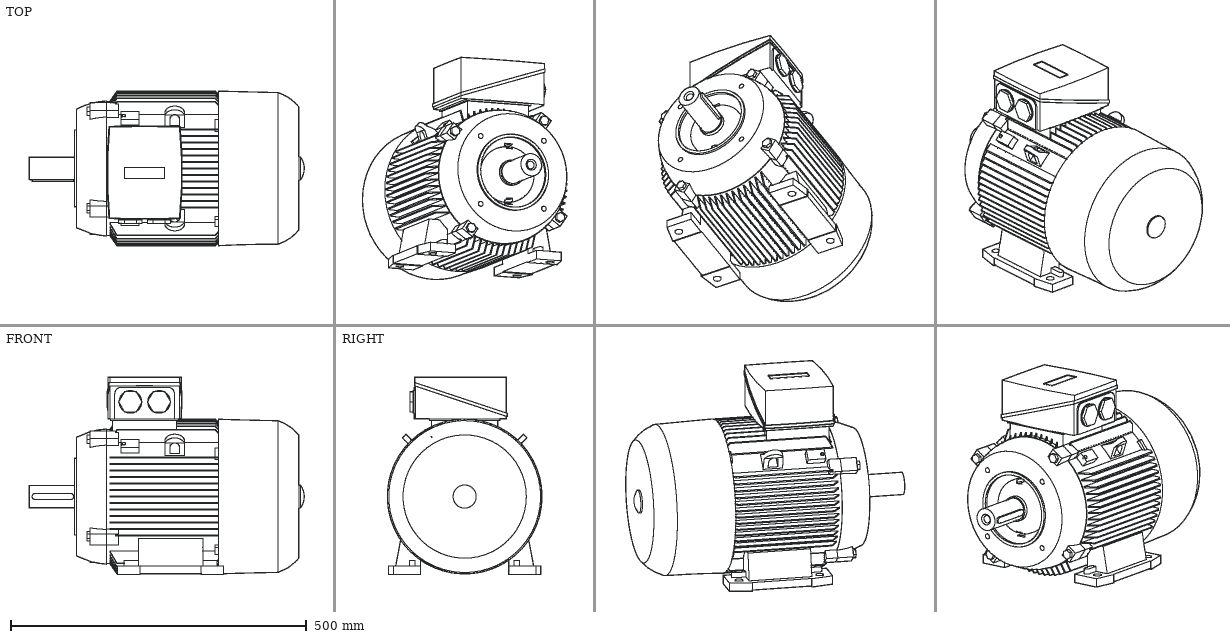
import cadquery as cq

SHAFT_RADIUS = 19.0
SHAFT_LENGTH = 80.0
COLLAR_RADIUS = 21.5
SHAFT_HEIGHT = 132.0
SHIELD_BACK_X = 131.0
COVER_FRONT_X = 320.0
COVER_BACK_X = 455.5
OVERALL_LENGTH = 465.0
COVER_RADIUS = 262.0 / 2
TOP_Z = 202.0
QUARTER_TURNS = [0, 90, 180, 270]

CENTRE_HOLE_RADIUS = 6.5
CENTRE_HOLE_MOUTH = 9.5
CENTRE_HOLE_DEPTH = 28.0
KEY_LENGTH = 70.0
KEY_WIDTH = 10.0
KEY_START_X = 5.0
KEY_BOTTOM = 14.0
KEY_TOP = 22.0

SPIGOT_X = 76.3
SPIGOT_RADIUS = 65.0
RECESS_RADIUS = 60.0
RECESS_STRAIGHT = 4.0
VALLEY_RADIUS = 47.5
VALLEY_X = 107.0
HUB_FLAT_RADIUS = 33.0
HUB_X = 86.0
SHIELD_FACE_RADIUS = 100.5
SHIELD_MID = (103.0, 109.7)
SHIELD_BACK_RADIUS = 114.5
FLANGE_HOLE_RADIUS = 4.0
FLANGE_HOLE_CIRCLE = 82.5
FLANGE_HOLE_DEPTH = 18.5
FLANGE_HOLE_ANGLE = 45
DRAIN_RADIUS = 7.0
DRAIN_X = 96.5
DRAIN_INNER = 42.5
DRAIN_OUTER = 52.0
VERTICALS = [90, 270]

LUG_ANGLE = 55.2
LUG_CENTRE_RADIUS = 117.5
LUG_WIDTH = 23.0
LUG_HEIGHT = 19.5
LUG_FRONT_X = 103.0
LUG_BACK_X = 151.0
SCREW_HEAD_DIAMETER = 16.5
SCREW_HEAD_HEIGHT = 5.5

CORE_RADIUS = 113.5
FIN_RADIUS = 130.5
FINS_EACH_WAY = 6
FIN_PITCH = 66.0 / FINS_EACH_WAY
FIN_THICKNESS = 2.0
FIN_START_X = 136.2
FIN_FULL_X = 148.5
FIN_END_CHAMFER = 5.0
TAB_ANGLE = 38.8
TAB_RADIUS = 118.5
TAB_WIDTH = 21.0
TAB_LENGTH = 6.0
BOSS_ROOT = 111.0
PAD_X = 155.5
PAD_LENGTH = 30.5
PAD_WIDTH = 18.5
PAD_RADIUS = 126.5
PAD_HOLE_RADIUS = 3.0
PAD_HOLE_OFFSET = 4.5
PAD_HOLE_DEPTH = 4.5
DIAGONALS = [45, 135]

EYE_X = 246.0
EYE_RADIUS = 16.7
EYE_TIP = 144.5
EYE_THICKNESS = 9.0
EYE_CHEEK_TOP = 132.5
EYE_CHEEK_FOOT = 15.0
EYE_SLOT_FLOOR = 116.0
EYE_SLOT_WIDTH = 16.7

FOOT_CENTRE_X = 239.0
FOOT_LENGTH = 179.5
FOOT_INNER_Y = 74.5
FOOT_OUTER_Y = 129.0
FOOT_END_Y = 120.5
FOOT_THICKNESS = 15.0
FOOT_RELIEF = 1.5
FOOT_RELIEF_LENGTH = 103.0
RISER_LENGTH = 109.0
RISER_TOP_Y = 108.0
RISER_FOOT_Y = 116.5
RISER_TOP_Z = -70.5
FOOT_HOLE_RADIUS = 6.5
FOOT_HOLE_SPACING_X = 140.0
FOOT_HOLE_Y = 108.0
RIB_Y = 88.5
RIB_WIDTH = 9.5
RIB_HEIGHT = 9.0
RIB_LENGTH = 157.0

BOX_BOTTOM_Z = 131.0
BOX_X = (136.2, 254.0)
BOX_BACK_Y = 69.8
BOX_FRONT_Y = -83.0
LID_OVERHANG = 1.0
BOX_END_BULGE = 3.5
BOX_SIDE_BULGE = 1.0
SPLIT_BACK_Z = 136.0
SPLIT_FRONT_Z = 186.5
RIM_HEIGHT = 5.5
RIM_OVERHANG = 1.5
LABEL_X = (161.5, 229.0)
LABEL_Y = (-17.0, 1.5)
LABEL_DEPTH = 1.5
NECK_X = (140.5, 249.2)
NECK_HALF_WIDTH = 56.3
NECK_FLANGE_OVERHANG = 3.3
NECK_FLANGE_HEIGHT = 3.0
ENTRY_X = (144.5, 245.5)
ENTRY_TOP_Z = 184.5
ENTRY_CORNER = 11.0
ENTRY_THICKNESS = 3.0
PLUG_X = (171.0, 219.5)
PLUG_Z = 160.0
PLUG_WASHER_RADIUS = 19.0
PLUG_WASHER_THICKNESS = 2.0
PLUG_HEX_DIAMETER = 39.5
PLUG_HEX_HEIGHT = 5.0

COVER_BEND_X = 421.0
COVER_BEND_RADIUS = 128.5
COVER_MID = (439.5, 119.0)
COVER_BACK_RADIUS = 104.0
CAP_RADIUS = 19.5
CAP_EDGE = 3.0


def revolve_about_shaft(profile):
    """Revolve a closed (X, radius) profile about the shaft axis."""
    return profile.revolve(360, (0, 0, 0), (1, 0, 0))


def shaft_cylinder(x_start, x_end, radius):
    return cq.Workplane("YZ", origin=(x_start, 0, 0)).circle(radius).extrude(x_end - x_start)


def block(x_range, y_range, z_range):
    size = [high - low for low, high in (x_range, y_range, z_range)]
    return cq.Workplane("XY").box(*size, centered=False).translate((x_range[0], y_range[0], z_range[0]))


def turn_from_front(shape, angle):
    """Turn a shape built on the -Y side about the shaft axis, from -Y towards +Z."""
    return shape.rotate((0, 0, 0), (1, 0, 0), -angle)


def lug(x_start, x_end):
    """Square clamping lug on the -Y side."""
    inner = LUG_CENTRE_RADIUS - LUG_HEIGHT / 2
    outer = LUG_CENTRE_RADIUS + LUG_HEIGHT / 2
    return block((x_start, x_end), (-outer, -inner), (-LUG_WIDTH / 2, LUG_WIDTH / 2))


def make_key():
    """Round-ended key on the -Y side of the shaft."""
    return (
        cq.Workplane("XZ", origin=(KEY_START_X + KEY_LENGTH / 2, -KEY_BOTTOM, 0))
        .slot2D(KEY_LENGTH, KEY_WIDTH)
        .extrude(KEY_TOP - KEY_BOTTOM)
    )


def make_shaft():
    """Stub shaft with a shoulder, a countersunk centre hole and a keyway."""
    shaft = shaft_cylinder(0, SHAFT_LENGTH, SHAFT_RADIUS)
    shaft = shaft.union(shaft_cylinder(SHAFT_LENGTH, SHIELD_BACK_X, COLLAR_RADIUS))
    mouth_depth = CENTRE_HOLE_MOUTH - CENTRE_HOLE_RADIUS
    centre_hole = revolve_about_shaft(
        cq.Workplane("XY").polyline([
            (0, 0),
            (0, CENTRE_HOLE_MOUTH),
            (mouth_depth, CENTRE_HOLE_RADIUS),
            (CENTRE_HOLE_DEPTH, CENTRE_HOLE_RADIUS),
            (CENTRE_HOLE_DEPTH, 0),
        ]).close()
    )
    return shaft.cut(centre_hole).cut(make_key())


def make_end_shield():
    """Domed shield with a spigot, a recessed hub, clamping lugs and flange holes."""
    hub_round = VALLEY_RADIUS - HUB_FLAT_RADIUS
    shield = revolve_about_shaft(
        cq.Workplane("XY")
        .moveTo(SHIELD_BACK_X, COLLAR_RADIUS)
        .lineTo(HUB_X, COLLAR_RADIUS)
        .lineTo(HUB_X, HUB_FLAT_RADIUS)
        .radiusArc((HUB_X + hub_round, VALLEY_RADIUS), hub_round)
        .lineTo(VALLEY_X, VALLEY_RADIUS)
        .lineTo(SPIGOT_X + RECESS_STRAIGHT, RECESS_RADIUS)
        .lineTo(SPIGOT_X, RECESS_RADIUS)
        .lineTo(SPIGOT_X, SPIGOT_RADIUS)
        .lineTo(SHAFT_LENGTH, SPIGOT_RADIUS)
        .lineTo(SHAFT_LENGTH, SHIELD_FACE_RADIUS)
        .threePointArc(SHIELD_MID, (SHIELD_BACK_X, SHIELD_BACK_RADIUS))
        .close()
    )
    screw_head = (
        cq.Workplane("YZ", origin=(LUG_FRONT_X - SCREW_HEAD_HEIGHT, -LUG_CENTRE_RADIUS, 0))
        .transformed(rotate=(0, 0, LUG_ANGLE))
        .polygon(6, SCREW_HEAD_DIAMETER)
        .extrude(SCREW_HEAD_HEIGHT)
    )
    lug_with_screw = lug(LUG_FRONT_X, SHIELD_BACK_X).union(screw_head)
    flange_hole = shaft_cylinder(SHAFT_LENGTH, SHAFT_LENGTH + FLANGE_HOLE_DEPTH, FLANGE_HOLE_RADIUS)
    flange_hole = flange_hole.translate((0, -FLANGE_HOLE_CIRCLE, 0))
    for turn in QUARTER_TURNS:
        shield = shield.union(turn_from_front(lug_with_screw, turn + LUG_ANGLE))
        shield = shield.cut(turn_from_front(flange_hole, turn + FLANGE_HOLE_ANGLE))
    drain = (
        cq.Workplane("XZ", origin=(DRAIN_X, -DRAIN_INNER, 0))
        .circle(DRAIN_RADIUS)
        .extrude(DRAIN_OUTER - DRAIN_INNER)
    )
    for angle in VERTICALS:
        shield = shield.cut(turn_from_front(drain, angle))
    return shield


def make_fins():
    """Flat cooling fins in both directions, trimmed to a round envelope."""
    envelope = revolve_about_shaft(
        cq.Workplane("XY").polyline([
            (FIN_START_X, 0),
            (FIN_START_X, CORE_RADIUS),
            (FIN_FULL_X, FIN_RADIUS),
            (COVER_FRONT_X - FIN_END_CHAMFER, FIN_RADIUS),
            (COVER_FRONT_X, FIN_RADIUS - FIN_END_CHAMFER),
            (COVER_FRONT_X, 0),
        ]).close()
    )
    fins = cq.Workplane("XY")
    for step in range(-FINS_EACH_WAY, FINS_EACH_WAY + 1):
        offset = step * FIN_PITCH
        across = (-COVER_RADIUS, COVER_RADIUS)
        thickness = (offset - FIN_THICKNESS / 2, offset + FIN_THICKNESS / 2)
        fins = fins.add(block((FIN_START_X, COVER_FRONT_X), across, thickness))
        fins = fins.add(block((FIN_START_X, COVER_FRONT_X), thickness, across))
    return [envelope.intersect(cq.Workplane(fin)) for fin in fins.vals()]


def make_pad():
    """Nameplate pad with a small screw hole, on the -Y side."""
    pad = block((PAD_X, PAD_X + PAD_LENGTH), (-PAD_RADIUS, -BOSS_ROOT), (-PAD_WIDTH / 2, PAD_WIDTH / 2))
    hole = (
        cq.Workplane("XZ", origin=(PAD_X + PAD_HOLE_OFFSET, PAD_HOLE_DEPTH - PAD_RADIUS, 0))
        .circle(PAD_HOLE_RADIUS)
        .extrude(PAD_HOLE_DEPTH)
    )
    return pad.cut(hole)


def make_eye():
    """Lifting eye on the -Y side: a rounded plate on flared cheeks, with an open slot."""
    half = EYE_THICKNESS / 2
    flared = (
        cq.Workplane("YZ", origin=(EYE_X - EYE_RADIUS, 0, 0))
        .polyline([
            (-BOSS_ROOT, -EYE_CHEEK_FOOT),
            (-EYE_CHEEK_TOP, -half),
            (-EYE_TIP, -half),
            (-EYE_TIP, half),
            (-EYE_CHEEK_TOP, half),
            (-BOSS_ROOT, EYE_CHEEK_FOOT),
        ])
        .close()
        .extrude(2 * EYE_RADIUS)
    )

    def arch(half_width, root, tip):
        return (
            cq.Workplane("XY")
            .moveTo(EYE_X - half_width, -root)
            .lineTo(EYE_X - half_width, half_width - tip)
            .threePointArc((EYE_X, -tip), (EYE_X + half_width, half_width - tip))
            .lineTo(EYE_X + half_width, -root)
            .close()
            .extrude(2 * EYE_CHEEK_FOOT, both=True)
        )

    slot = arch(EYE_SLOT_WIDTH / 2, EYE_SLOT_FLOOR, EYE_CHEEK_TOP)
    return flared.intersect(arch(EYE_RADIUS, BOSS_ROOT, EYE_TIP)).cut(slot)


def make_foot():
    """Foot on the -Y side: a plate with tapered ends, a sloping riser and stub ribs."""
    plate_top = FOOT_THICKNESS - SHAFT_HEIGHT
    half_length = FOOT_LENGTH / 2
    half_relief = FOOT_RELIEF_LENGTH / 2
    relief_y = FOOT_OUTER_Y - FOOT_RELIEF
    foot = (
        cq.Workplane("XY", origin=(FOOT_CENTRE_X, 0, -SHAFT_HEIGHT))
        .polyline([
            (-half_length, -FOOT_INNER_Y),
            (-half_length, -FOOT_END_Y),
            (-half_relief, -FOOT_OUTER_Y),
            (-half_relief, -relief_y),
            (half_relief, -relief_y),
            (half_relief, -FOOT_OUTER_Y),
            (half_length, -FOOT_END_Y),
            (half_length, -FOOT_INNER_Y),
        ])
        .close()
        .extrude(FOOT_THICKNESS)
    )
    underside = cq.Workplane("XY").box(FOOT_RELIEF_LENGTH, 2 * FOOT_OUTER_Y, 2 * FOOT_RELIEF)
    foot = foot.cut(underside.translate((FOOT_CENTRE_X, -FOOT_OUTER_Y, -SHAFT_HEIGHT)))
    holes = (
        cq.Workplane("XY", origin=(FOOT_CENTRE_X, -FOOT_HOLE_Y, -SHAFT_HEIGHT))
        .rarray(FOOT_HOLE_SPACING_X, 4.5, 2, 1)
        .circle(FOOT_HOLE_RADIUS)
        .extrude(FOOT_THICKNESS)
    )
    ribs = (
        cq.Workplane("XY", origin=(FOOT_CENTRE_X, -RIB_Y, plate_top))
        .slot2D(RIB_LENGTH, RIB_WIDTH)
        .extrude(RIB_HEIGHT)
    )
    riser = (
        cq.Workplane("YZ", origin=(FOOT_CENTRE_X - RISER_LENGTH / 2, 0, 0))
        .polyline([
            (-FOOT_INNER_Y, plate_top),
            (-RISER_FOOT_Y, plate_top),
            (-RISER_TOP_Y, RISER_TOP_Z),
            (-FOOT_INNER_Y, RISER_TOP_Z),
        ])
        .close()
        .extrude(RISER_LENGTH)
    )
    return foot.cut(holes).union(riser).union(ribs)


def make_neck():
    """Raised seat that carries the terminal box."""
    width = (-NECK_HALF_WIDTH, NECK_HALF_WIDTH)
    neck = block(NECK_X, width, (0, BOX_BOTTOM_Z))
    flange_x = (NECK_X[0] - NECK_FLANGE_OVERHANG, NECK_X[1] + NECK_FLANGE_OVERHANG)
    flange_y = (width[0] - NECK_FLANGE_OVERHANG, width[1] + NECK_FLANGE_OVERHANG)
    return neck.union(block(flange_x, flange_y, (BOX_BOTTOM_Z - NECK_FLANGE_HEIGHT, BOX_BOTTOM_Z)))


def make_housing():
    """Finned housing with lugs, pads, lifting eyes, feet and the terminal box seat."""
    housing = shaft_cylinder(SHIELD_BACK_X, COVER_FRONT_X, CORE_RADIUS)
    for fin in make_fins():
        housing = housing.union(fin)
    tab_x = (COVER_FRONT_X - TAB_LENGTH, COVER_FRONT_X)
    tab = block(tab_x, (-TAB_RADIUS, LUG_HEIGHT - TAB_RADIUS), (-TAB_WIDTH / 2, TAB_WIDTH / 2))
    for turn in QUARTER_TURNS:
        housing = housing.union(turn_from_front(lug(SHIELD_BACK_X, LUG_BACK_X), turn + LUG_ANGLE))
        housing = housing.union(turn_from_front(tab, turn + TAB_ANGLE))
    for angle in DIAGONALS:
        housing = housing.union(turn_from_front(make_pad(), angle))
        housing = housing.union(turn_from_front(make_eye(), angle))
    foot = make_foot()
    housing = housing.union(foot).union(foot.mirror("XZ"))
    return housing.union(make_neck())


def dome_radius():
    """Radius of the sphere through the cap edge and the rearmost point."""
    rise = OVERALL_LENGTH - COVER_BACK_X - CAP_EDGE
    return (CAP_RADIUS ** 2 + rise ** 2) / (2 * rise)


def make_fan_cover():
    """Closed cover with a tapered wall, a rounded back edge and a domed centre cap."""
    return revolve_about_shaft(
        cq.Workplane("XY")
        .moveTo(COVER_FRONT_X, 0)
        .lineTo(COVER_FRONT_X, COVER_RADIUS)
        .lineTo(COVER_BEND_X, COVER_BEND_RADIUS)
        .threePointArc(COVER_MID, (COVER_BACK_X, COVER_BACK_RADIUS))
        .lineTo(COVER_BACK_X, CAP_RADIUS)
        .lineTo(COVER_BACK_X + CAP_EDGE, CAP_RADIUS)
        .radiusArc((OVERALL_LENGTH, 0), dome_radius())
        .close()
    )


def box_column(front_y, overhang=0.0):
    """Full-height column with slightly bulging sides."""
    left = BOX_X[0] - overhang
    right = BOX_X[1] + overhang
    back = BOX_BACK_Y + overhang
    front = front_y - overhang
    middle_x = (left + right) / 2
    middle_y = (back + front) / 2
    return (
        cq.Workplane("XY", origin=(0, 0, BOX_BOTTOM_Z))
        .moveTo(left, front)
        .threePointArc((middle_x, front - BOX_SIDE_BULGE), (right, front))
        .threePointArc((right + BOX_END_BULGE, middle_y), (right, back))
        .threePointArc((middle_x, back + BOX_SIDE_BULGE), (left, back))
        .threePointArc((left - BOX_END_BULGE, middle_y), (left, front))
        .close()
        .extrude(TOP_Z - BOX_BOTTOM_Z)
    )


def sloped_slab(height):
    """Slab of the given height that stands on the sloping joint between box and lid."""
    slope = (SPLIT_BACK_Z - SPLIT_FRONT_Z) / (BOX_BACK_Y - BOX_FRONT_Y)
    reach = 2 * BOX_BACK_Y
    low_front = SPLIT_FRONT_Z + slope * (-reach - BOX_FRONT_Y)
    low_back = SPLIT_FRONT_Z + slope * (reach - BOX_FRONT_Y)
    return (
        cq.Workplane("YZ")
        .polyline([
            (-reach, low_front),
            (reach, low_back),
            (reach, low_back + height),
            (-reach, low_front + height),
        ])
        .close()
        .extrude(OVERALL_LENGTH)
    )


def make_lid():
    """Sloping lid with a rim along the joint and a shallow label recess."""
    lid = box_column(BOX_FRONT_Y - LID_OVERHANG).intersect(sloped_slab(TOP_Z))
    rim = box_column(BOX_FRONT_Y, RIM_OVERHANG).intersect(sloped_slab(RIM_HEIGHT))
    label = block(LABEL_X, LABEL_Y, (TOP_Z - LABEL_DEPTH, TOP_Z))
    return lid.union(rim).cut(label)


def make_entry_plate():
    """Cable entry plate with two hexagon plugs, on the front of the terminal box."""
    plate_y = (BOX_FRONT_Y - ENTRY_THICKNESS, BOX_FRONT_Y + ENTRY_THICKNESS)
    entry = block(ENTRY_X, plate_y, (BOX_BOTTOM_Z, ENTRY_TOP_Z))
    entry = entry.edges("|Y and >Z").fillet(ENTRY_CORNER)
    washer_y = plate_y[0] - PLUG_WASHER_THICKNESS
    for x in PLUG_X:
        washer = cq.Workplane("XZ", origin=(x, plate_y[0], PLUG_Z)).circle(PLUG_WASHER_RADIUS)
        hexagon = cq.Workplane("XZ", origin=(x, washer_y, PLUG_Z)).polygon(6, PLUG_HEX_DIAMETER)
        entry = entry.union(washer.extrude(PLUG_WASHER_THICKNESS)).union(hexagon.extrude(PLUG_HEX_HEIGHT))
    return entry


def make_terminal_box():
    """Lower part of the terminal box, with its cable entry."""
    return box_column(BOX_FRONT_Y).cut(sloped_slab(TOP_Z)).union(make_entry_plate())


shaft = make_shaft()
key = make_key()
end_shield = make_end_shield()
housing = make_housing()
fan_cover = make_fan_cover()
terminal_box = make_terminal_box()
lid = make_lid()

result = cq.Compound.makeCompound([
    shaft.solids().val(),
    key.solids().val(),
    end_shield.solids().val(),
    housing.solids().val(),
    fan_cover.solids().val(),
    terminal_box.solids().val(),
    lid.solids().val(),
])